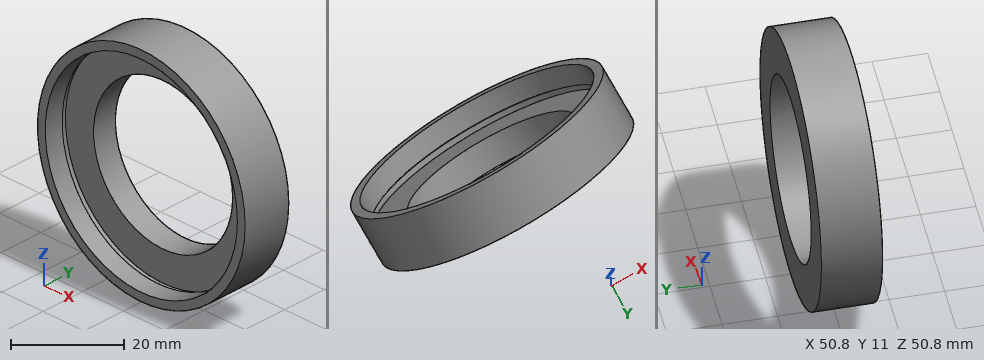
import cadquery as cq

outer_diameter = 50.8
ring_thickness = 11.0
bore_diameter = 34.0
recess_diameter = 47.0
recess_depth = 5.5
undercut_diameter = 47.75
undercut_width = 1.2


def disc(diameter, start_depth, end_depth):
    """Cylinder about Y between two depths measured from the front face."""
    plane = cq.Workplane("XZ", origin=(0, start_depth, 0))
    return plane.circle(diameter / 2).extrude(start_depth - end_depth)


body = disc(outer_diameter, 0, ring_thickness)
bore = disc(bore_diameter, 0, ring_thickness)
recess = disc(recess_diameter, 0, recess_depth)
undercut = disc(undercut_diameter, recess_depth - undercut_width, recess_depth)

result = body.cut(bore).cut(recess).cut(undercut)